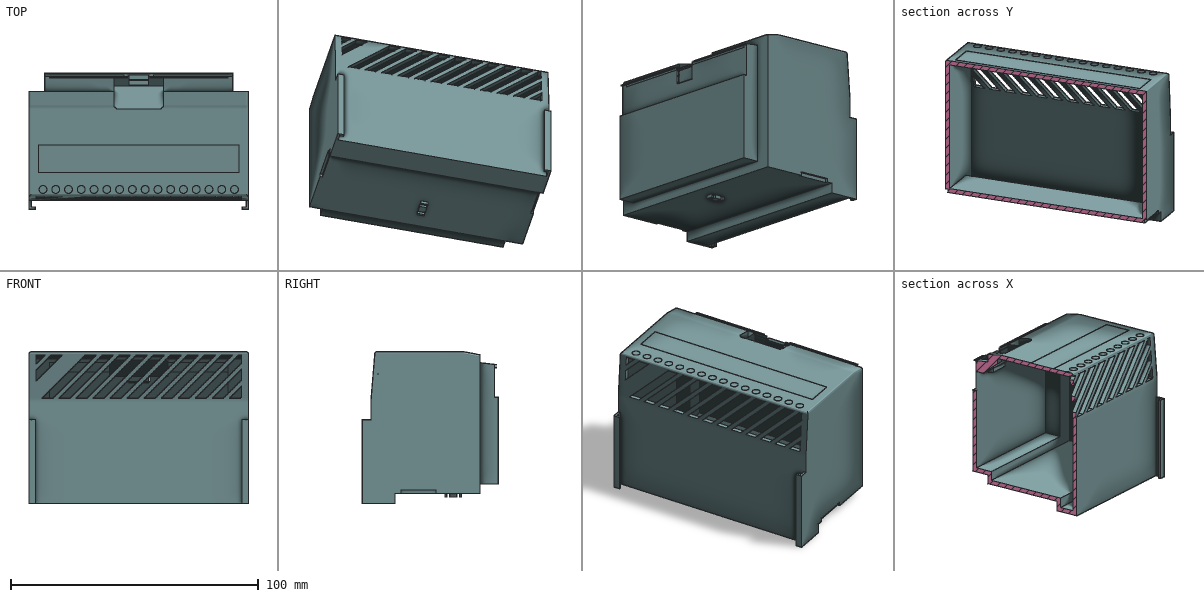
import cadquery as cq
import math

WIDTH = 88.7
DEPTH = 54.94
HEIGHT = 61.36
WALL = 2.0

FRONT_Y = 3.5
BACK_Y = 47.56
BOTTOM_Z = 4.1
FOOT_BACK_Y = 13.27
FRONT_BEND_Z = 40.96
FRONT_LEAN_Z = 42.5
FRONT_LEAN_ANGLE = math.radians(4.7)
ROOF_BEND_Y = 40.5
ROOF_BEND_LENGTH = 1.5
ROOF_BEND_ANGLE = math.radians(11)
EDGE_RADIUS = 1.0

REAR_WIDTH = 76.0
REAR_BOTTOM_Z = 7.87
REAR_STEP_Z = 43.05
REAR_UPPER_Y = 53.5
REAR_ROOF_FRONT_Z = 56.95
REAR_ROOF_BACK_Z = 56.27
REAR_INNER_Y = 52.9
REAR_INNER_TOP_Z = 53.2
REAR_MOUTH_TOP_Z = 57.0
REAR_MOUTH_DEPTH = 0.5
REAR_GROOVE_WIDTH = 0.3
REAR_GROOVE_DEPTH = 1.0
REAR_RIB_Y = 54.2
REAR_RIB_HEIGHT = 0.3
REAR_RIB_GAP = 12.0

RAIL_TOP_Z = 33.9
RAIL_THICKNESS = 1.0
RAIL_LIP = 2.65

LOUVRE_WINDOW_WIDTH = 82.9
LOUVRE_BOTTOM_Z = 42.65
LOUVRE_TOP_Z = 60.0
LOUVRE_PITCH = 6.876
LOUVRE_SLOT = 4.4
LOUVRE_FIRST_X = -39.05
LOUVRE_NUMBERS = [n for n in range(-3, 12) if n != -1]

PRINT_DEPTH = 0.1
LABEL_WIDTH = 81.1
LABEL_FRONT_Y = 14.75
LABEL_BACK_Y = 25.85
MARKER_COUNT = 16
MARKER_PITCH = 5.154
MARKER_Y = 8.0
MARKER_DIAMETER = 3.15

CHUTE_WIDTH = 19.8
CHUTE_END_Y = 49.8
CHUTE_END_Z = 53.9
CHUTE_UNDER_FRONT_Y = 41.4
CHUTE_CORNER = 1.0
CHUTE_OUTER_CORNER = 1.2

LATCH_WIDTH = 8.0
LATCH_CLEARANCE = 0.5
LATCH_SLOT_BOTTOM_Z = 49.3
LATCH_BOTTOM_Z = 48.7
LATCH_BOTTOM_RISE = 0.6
LATCH_STEP_Z = 52.0
LATCH_TOP_Z = 55.2
LATCH_HOOK_HEIGHT = 0.5
LATCH_FRONT_Y = 50.2
LATCH_STEM_Y = 52.0
LATCH_SHOULDER_Y = 52.4

NOTCH_FRONT_Y = 15.7
NOTCH_BACK_Y = 29.7
NOTCH_HEIGHT = 1.5
NOTCH_DEPTH = 1.0
TAB_CENTER_Y = 36.75
TAB_DROP = 1.4
TAB_LENGTH = 3.0
MIDDLE_TAB_WIDTH = 3.0
OUTER_TAB_WIDTH = 0.8
OUTER_TAB_OFFSET = 3.0

half_width = WIDTH / 2
rear_half = REAR_WIDTH / 2
rear_inner_half = rear_half - WALL
chute_half = CHUTE_WIDTH / 2
front_bend_radius = (FRONT_LEAN_Z - FRONT_BEND_Z) / math.sin(FRONT_LEAN_ANGLE)
lean_start_y = FRONT_Y + front_bend_radius * (1 - math.cos(FRONT_LEAN_ANGLE))
chute_slope = (HEIGHT - CHUTE_END_Z) / (CHUTE_END_Y - ROOF_BEND_Y)
chute_floor_height = WALL * math.hypot(1, chute_slope)
under_end_z = CHUTE_END_Z - chute_floor_height


def block(x0, x1, y0, y1, z0, z1):
    """Box between two opposite corners."""
    return cq.Workplane("XY").box(x1 - x0, y1 - y0, z1 - z0, centered=False).translate((x0, y0, z0))


def side_extrusion(points, half):
    """Extrude a closed (Y, Z) outline across X, from -half to +half."""
    return cq.Workplane("YZ").polyline(points).close().extrude(half, both=True)


def box_profile(inset, half):
    """Side outline of the main box, moved inwards by inset and extruded across X."""
    front = FRONT_Y + inset
    back = BACK_Y - inset
    top = HEIGHT - inset
    floor = BOTTOM_Z + inset
    front_radius = front_bend_radius - inset
    front_mid = (
        front + front_radius * (1 - math.cos(FRONT_LEAN_ANGLE / 2)),
        FRONT_BEND_Z + front_radius * math.sin(FRONT_LEAN_ANGLE / 2),
    )
    front_end = (
        front + front_radius * (1 - math.cos(FRONT_LEAN_ANGLE)),
        FRONT_BEND_Z + front_radius * math.sin(FRONT_LEAN_ANGLE),
    )
    bend_radius = ROOF_BEND_LENGTH / math.sin(ROOF_BEND_ANGLE) - inset
    half_angle = ROOF_BEND_ANGLE / 2
    bend_mid = (
        ROOF_BEND_Y + bend_radius * math.sin(half_angle),
        top - bend_radius * (1 - math.cos(half_angle)),
    )
    bend_end = (
        ROOF_BEND_Y + bend_radius * math.sin(ROOF_BEND_ANGLE),
        top - bend_radius * (1 - math.cos(ROOF_BEND_ANGLE)),
    )
    back_top = bend_end[1] - (back - bend_end[0]) * math.tan(ROOF_BEND_ANGLE)
    return (
        cq.Workplane("YZ")
        .moveTo(front, inset)
        .lineTo(front, FRONT_BEND_Z)
        .threePointArc(front_mid, front_end)
        .lineTo(front_end[0] + (top - front_end[1]) * math.tan(FRONT_LEAN_ANGLE), top)
        .lineTo(ROOF_BEND_Y, top)
        .threePointArc(bend_mid, bend_end)
        .lineTo(back, back_top)
        .lineTo(back, floor)
        .lineTo(FOOT_BACK_Y - inset, floor)
        .lineTo(FOOT_BACK_Y - inset, inset)
        .close()
        .extrude(half, both=True)
    )


def main_box():
    """Outer main box, rounded along the front and both sides of the roof."""
    near_roof = cq.selectors.BoxSelector(
        (-WIDTH, 0, HEIGHT - EDGE_RADIUS / 2), (WIDTH, ROOF_BEND_Y, HEIGHT + EDGE_RADIUS)
    )
    side_roof = cq.selectors.BoxSelector(
        (-WIDTH, FRONT_Y + WALL, REAR_ROOF_FRONT_Z), (WIDTH, BACK_Y - EDGE_RADIUS, HEIGHT + EDGE_RADIUS)
    )
    box = box_profile(0, half_width)
    edges = box.edges("|X").edges(near_roof).edges("<Y")
    for side in (">X", "<X"):
        edges = edges.add(box.faces(side).edges(side_roof))
    return box.newObject(edges.vals()).fillet(EDGE_RADIUS)


def rear_box():
    """Outer rear box with the rib along its upper edge."""
    box = side_extrusion(
        [
            (BACK_Y - WALL, REAR_BOTTOM_Z),
            (DEPTH, REAR_BOTTOM_Z),
            (DEPTH, REAR_STEP_Z),
            (REAR_UPPER_Y, REAR_STEP_Z),
            (REAR_UPPER_Y, REAR_ROOF_BACK_Z),
            (BACK_Y, REAR_ROOF_FRONT_Z),
            (BACK_Y - WALL, REAR_ROOF_FRONT_Z),
        ],
        rear_half,
    )
    for x0, x1 in ((-rear_half, -REAR_RIB_GAP / 2), (REAR_RIB_GAP / 2, rear_half)):
        rib_bottom = REAR_ROOF_BACK_Z - REAR_RIB_HEIGHT
        box = box.union(block(x0, x1, REAR_INNER_Y, REAR_RIB_Y, rib_bottom, REAR_ROOF_BACK_Z))
    return box


def front_rails():
    """Two L-shaped rails standing in front of the box at its outer edges."""
    left = block(-half_width, -half_width + RAIL_THICKNESS, 0, FRONT_Y, 0, RAIL_TOP_Z)
    left = left.union(block(-half_width, -half_width + RAIL_LIP, 0, RAIL_THICKNESS, 0, RAIL_TOP_Z))
    return left.union(left.mirror("YZ"))


def cavity():
    """Inside of the main box and of the rear box, joined by a wide mouth."""
    inner_front = BACK_Y - WALL
    main = box_profile(WALL, half_width - WALL)
    mouth = block(-rear_inner_half, rear_inner_half, inner_front, inner_front + REAR_MOUTH_DEPTH,
                  REAR_BOTTOM_Z + WALL, REAR_MOUTH_TOP_Z)
    rear = block(-rear_inner_half, rear_inner_half, inner_front, REAR_INNER_Y,
                 REAR_BOTTOM_Z + WALL, REAR_INNER_TOP_Z)
    below_chute = block(-chute_half - WALL, chute_half + WALL, inner_front, REAR_INNER_Y,
                        under_end_z, REAR_ROOF_BACK_Z)
    return main.union(mouth).union(rear).union(below_chute)


def louvre_slots():
    """Diagonal slots cut square to the leaning front wall."""
    plane = cq.Plane(
        origin=(0, lean_start_y, FRONT_LEAN_Z),
        xDir=(1, 0, 0),
        normal=(0, -math.cos(FRONT_LEAN_ANGLE), math.sin(FRONT_LEAN_ANGLE)),
    )
    bottom = (LOUVRE_BOTTOM_Z - FRONT_LEAN_Z) / math.cos(FRONT_LEAN_ANGLE)
    rise = (LOUVRE_TOP_Z - LOUVRE_BOTTOM_Z) / math.cos(FRONT_LEAN_ANGLE)
    window = (
        cq.Workplane(plane)
        .center(0, bottom + rise / 2)
        .rect(LOUVRE_WINDOW_WIDTH, rise)
        .extrude(WALL, both=True)
    )
    slots = cq.Workplane(plane)
    for number in LOUVRE_NUMBERS:
        x = LOUVRE_FIRST_X + number * LOUVRE_PITCH
        slots = slots.polyline(
            [
                (x, bottom),
                (x + LOUVRE_SLOT, bottom),
                (x + LOUVRE_SLOT + rise, bottom + rise),
                (x + rise, bottom + rise),
            ]
        ).close()
    return slots.extrude(WALL, both=True).intersect(window)


def chute_plan(half, front, corner, z0, z1):
    """Vertical prism of the chute outline, with its two front corners cut off."""
    points = [
        (-half, REAR_INNER_Y),
        (-half, front + corner),
        (-half + corner, front),
        (half - corner, front),
        (half, front + corner),
        (half, REAR_INNER_Y),
    ]
    return cq.Workplane("XY").polyline(points).close().extrude(z1 - z0).translate((0, 0, z0))


def chute_body(outer):
    """Solid block around the chute, trimmed to the outer form of the case."""
    under_front_z = under_end_z + (CHUTE_END_Y - CHUTE_UNDER_FRONT_Y) * chute_slope
    plan = chute_plan(chute_half + WALL, CHUTE_UNDER_FRONT_Y, CHUTE_OUTER_CORNER, under_end_z, HEIGHT)
    above_floor = side_extrusion(
        [
            (CHUTE_UNDER_FRONT_Y, HEIGHT),
            (CHUTE_UNDER_FRONT_Y, under_front_z),
            (CHUTE_END_Y, under_end_z),
            (REAR_INNER_Y, under_end_z),
            (REAR_INNER_Y, HEIGHT),
        ],
        half_width,
    )
    return plan.intersect(above_floor).intersect(outer)


def chute_cut():
    """Open space of the chute; past its sloping floor it drops into the rear cavity."""
    plan = chute_plan(chute_half, ROOF_BEND_Y, CHUTE_CORNER, 0, HEIGHT)
    space = side_extrusion(
        [
            (ROOF_BEND_Y, HEIGHT),
            (CHUTE_END_Y, CHUTE_END_Z),
            (CHUTE_END_Y, LATCH_BOTTOM_Z),
            (REAR_INNER_Y, LATCH_BOTTOM_Z),
            (REAR_INNER_Y, HEIGHT),
        ],
        half_width,
    )
    return plan.intersect(space)


def roof_prints():
    """Shallow label field and the row of round markers."""
    label = block(-LABEL_WIDTH / 2, LABEL_WIDTH / 2, LABEL_FRONT_Y, LABEL_BACK_Y,
                  HEIGHT - PRINT_DEPTH, HEIGHT)
    markers = (
        cq.Workplane("XY", origin=(0, MARKER_Y, HEIGHT - PRINT_DEPTH))
        .rarray(MARKER_PITCH, 1, MARKER_COUNT, 1)
        .circle(MARKER_DIAMETER / 2)
        .extrude(PRINT_DEPTH)
    )
    return label.union(markers)


def side_notches():
    """Shallow notches in the lower edges of the two side walls."""
    left = block(-half_width, -half_width + NOTCH_DEPTH, NOTCH_FRONT_Y, NOTCH_BACK_Y,
                 BOTTOM_Z, BOTTOM_Z + NOTCH_HEIGHT)
    return left.union(left.mirror("YZ"))


def bottom_tabs():
    """Wide tab between two thin ones, hanging from the floor."""
    tabs = cq.Workplane("XY")
    for offset, width in (
        (-OUTER_TAB_OFFSET, OUTER_TAB_WIDTH),
        (0, MIDDLE_TAB_WIDTH),
        (OUTER_TAB_OFFSET, OUTER_TAB_WIDTH),
    ):
        y = TAB_CENTER_Y + offset
        tabs = tabs.add(block(-TAB_LENGTH / 2, TAB_LENGTH / 2, y - width / 2, y + width / 2,
                              BOTTOM_Z - TAB_DROP, BOTTOM_Z + WALL / 2))
    return tabs


def make_case():
    outer = main_box().union(rear_box())
    slot_half = LATCH_WIDTH / 2 + LATCH_CLEARANCE
    latch_slot = block(-slot_half, slot_half, REAR_INNER_Y, DEPTH, LATCH_SLOT_BOTTOM_Z, HEIGHT)
    groove = block(-rear_inner_half, rear_inner_half, REAR_INNER_Y, REAR_INNER_Y + REAR_GROOVE_WIDTH,
                   REAR_ROOF_BACK_Z - REAR_GROOVE_DEPTH, HEIGHT)
    case = outer.cut(cavity()).union(chute_body(outer)).cut(chute_cut())
    case = case.cut(latch_slot).cut(groove).cut(louvre_slots())
    case = case.union(front_rails())
    for tab in bottom_tabs().vals():
        case = case.union(cq.Workplane(tab))
    return case.cut(roof_prints()).cut(side_notches())


def make_latch():
    """Latch finger: a foot against the rear wall, a stem and a hook reaching out through the slot."""
    return side_extrusion(
        [
            (LATCH_FRONT_Y, LATCH_BOTTOM_Z + LATCH_BOTTOM_RISE),
            (LATCH_STEM_Y, LATCH_BOTTOM_Z),
            (REAR_INNER_Y, LATCH_BOTTOM_Z),
            (REAR_INNER_Y, LATCH_TOP_Z - LATCH_HOOK_HEIGHT),
            (REAR_RIB_Y, LATCH_TOP_Z - LATCH_HOOK_HEIGHT),
            (REAR_RIB_Y, LATCH_TOP_Z),
            (LATCH_SHOULDER_Y, LATCH_TOP_Z),
            (LATCH_STEM_Y, LATCH_STEP_Z),
            (LATCH_FRONT_Y, LATCH_STEP_Z),
        ],
        LATCH_WIDTH / 2,
    )


case = make_case()
latch = make_latch()
result = cq.Compound.makeCompound([case.solids().val(), latch.solids().val()])